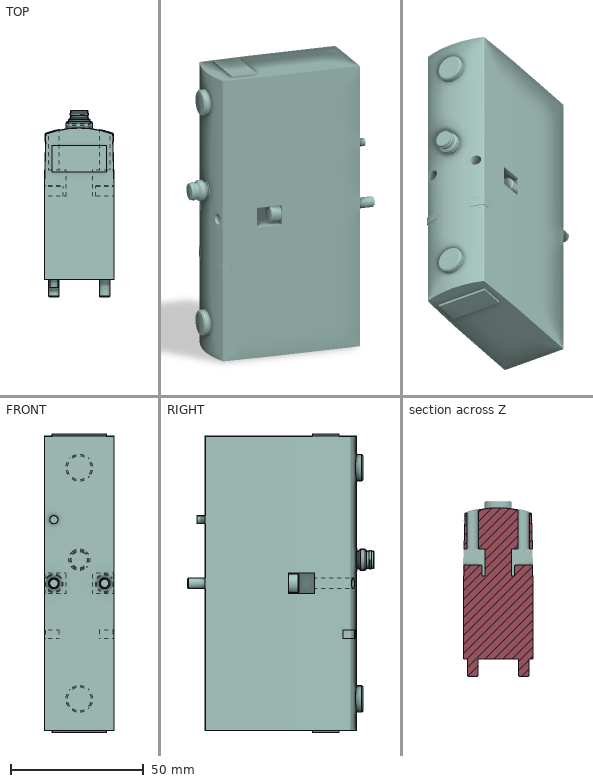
import cadquery as cq

TOTAL_HEIGHT = 112.5
LABEL_THICKNESS = 0.8
BODY_HEIGHT = TOTAL_HEIGHT - 2 * LABEL_THICKNESS
BODY_WIDTH = 26.3
PARTING_DEPTH = 35.2
CROWN_DEPTH = 57.0
CROWN_EDGE_DEPTH = 54.8
CROWN_EDGE_WIDTH = 25.2
CORNER_RADIUS = 0.7

LABEL_WIDTH = 20.4
LABEL_LENGTH = 10.0
LABEL_CENTER_DEPTH = 45.5

SCREW_X = 9.6
SCREW_DIAMETER = 4.0
SCREW_PROJECTION = 6.6
SCREW_TIP_CHAMFER = 0.5
HEAD_DIAMETER = 7.0
HEAD_HEIGHT = 4.0
HEAD_CHAMFER = 0.3
WINDOW_START = 31.4
WINDOW_LENGTH = 9.9
WINDOW_HEIGHT = 7.8
WINDOW_DEPTH = 8.1
ACCESS_DIAMETER = 4.0
PIN_DIAMETER = 3.0
PIN_PROJECTION = 3.0
PIN_Z = 24.0

KNOB_DIAMETER = 10.0
KNOB_DEPTH = 59.5
KNOB_TIP_DIAMETER = 9.0
KNOB_Z = 43.5
CONNECTOR_Z = 8.9
CONNECTOR_DEPTH = 63.7
CONNECTOR_DIAMETER = 6.5
CONNECTOR_TIP_CHAMFER = 0.2
RING_DIAMETER = 7.0
RING_SECTION = 1.0
RING_DEPTH = 62.2
COLLAR_DIAMETER = 8.0
FLANGE_DEPTH = 57.2
COLLAR_START = 57.9
COLLAR_LENGTH = 2.8
COLLAR_CHAMFER = 0.6
EMBED_DEPTH = 54.0

CLIP_HEIGHT = 3.2
CLIP_Z = -19.1
CLIP_THICKNESS = 0.2
CLIP_CORNER_RADIUS = 0.3
CLIP_START = 52.0
CLIP_INNER_X = 7.6


def cylinder_y(diameter, start, length, x=0.0, z=0.0):
    """Cylinder along +Y, starting at depth `start`."""
    plane = cq.Plane(origin=(x, start, z), xDir=(1, 0, 0), normal=(0, 1, 0))
    return cq.Workplane(plane).circle(diameter / 2).extrude(length)


def block(width, depth, height, center):
    return cq.Workplane("XY").box(width, depth, height).translate(center)


def housing(offset=0.0, corner_radius=CORNER_RADIUS):
    """Arched housing; `offset` grows the tapered front part outwards."""
    half_back = BODY_WIDTH / 2
    half_front = CROWN_EDGE_WIDTH / 2 + offset
    edge_depth = CROWN_EDGE_DEPTH + offset
    profile = (
        cq.Workplane("XY")
        .moveTo(-half_back, 0)
        .lineTo(half_back, 0)
        .lineTo(half_back + offset, PARTING_DEPTH)
        .lineTo(half_front, edge_depth)
        .threePointArc((0, CROWN_DEPTH + offset), (-half_front, edge_depth))
        .lineTo(-half_back - offset, PARTING_DEPTH)
        .close()
        .extrude(BODY_HEIGHT / 2, both=True)
    )
    return profile.faces(">Y").edges("|Z").fillet(corner_radius)


def corner_clip(side):
    length = CROWN_DEPTH + CLIP_THICKNESS - CLIP_START
    width = BODY_WIDTH / 2 - CLIP_INNER_X
    center = (side * (CLIP_INNER_X + width / 2), CLIP_START + length / 2, CLIP_Z)
    shell = housing(CLIP_THICKNESS, CLIP_CORNER_RADIUS)
    return shell.intersect(block(width, length, CLIP_HEIGHT, center))


def window(side):
    """Side opening with the screwdriver hole that reaches it from the front."""
    middle = WINDOW_START + WINDOW_LENGTH / 2
    center = (side * (BODY_WIDTH - WINDOW_DEPTH) / 2, middle, 0)
    opening = block(WINDOW_DEPTH, WINDOW_LENGTH, WINDOW_HEIGHT, center)
    access = cylinder_y(ACCESS_DIAMETER, middle, CROWN_DEPTH - middle, side * SCREW_X)
    return opening.union(access)


def screw(side):
    x = side * SCREW_X
    shank = cylinder_y(SCREW_DIAMETER, -SCREW_PROJECTION, SCREW_PROJECTION + WINDOW_START, x)
    head = cylinder_y(HEAD_DIAMETER, WINDOW_START, HEAD_HEIGHT, x)
    return shank.faces("<Y").chamfer(SCREW_TIP_CHAMFER).union(head.faces(">Y").chamfer(HEAD_CHAMFER))


def knob(z):
    cap = cylinder_y(KNOB_DIAMETER, EMBED_DEPTH, KNOB_DEPTH - EMBED_DEPTH, z=z)
    return cap.faces(">Y").chamfer((KNOB_DIAMETER - KNOB_TIP_DIAMETER) / 2)


def connector():
    stem = cylinder_y(CONNECTOR_DIAMETER, EMBED_DEPTH, CONNECTOR_DEPTH - EMBED_DEPTH, z=CONNECTOR_Z)
    stem = stem.faces(">Y").chamfer(CONNECTOR_TIP_CHAMFER)
    ring = cq.Workplane(
        cq.Solid.makeTorus(
            (RING_DIAMETER - RING_SECTION) / 2,
            RING_SECTION / 2,
            cq.Vector(0, RING_DEPTH, CONNECTOR_Z),
            cq.Vector(0, 1, 0),
        )
    )
    collar = cylinder_y(COLLAR_DIAMETER, COLLAR_START, COLLAR_LENGTH, z=CONNECTOR_Z)
    flange = cylinder_y(COLLAR_DIAMETER, EMBED_DEPTH, FLANGE_DEPTH - EMBED_DEPTH, z=CONNECTOR_Z)
    return stem.union(flange).union(ring).union(collar.edges().chamfer(COLLAR_CHAMFER))


result = housing()
result = result.union(block(LABEL_WIDTH, LABEL_LENGTH, TOTAL_HEIGHT, (0, LABEL_CENTER_DEPTH, 0)))

for side in (-1, 1):
    result = result.union(corner_clip(side))
    result = result.cut(window(side))
    result = result.union(screw(side))
    result = result.union(knob(side * KNOB_Z))

result = result.union(connector())
result = result.union(cylinder_y(PIN_DIAMETER, -PIN_PROJECTION, PIN_PROJECTION, -SCREW_X, PIN_Z))